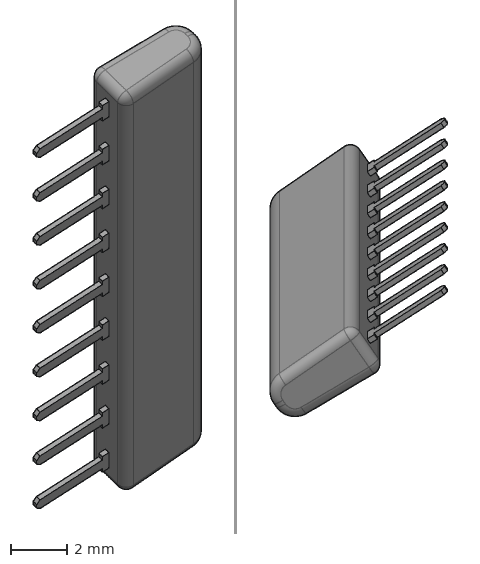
import cadquery as cq
import math

body_height = 22.85
pin_count = 9
pin_pitch = body_height / pin_count

body_depth = 4.0
front_width = 2.0
side_draft = math.radians(2.0)
back_width = front_width - 2 * body_depth * math.tan(side_draft)
edge_radius = 0.4
back_radius = 0.8

pin_thickness = 0.2
pin_width = 0.5
pin_length = 3.3
collar_width = 0.9
collar_length = 0.3
tip_chamfer = 0.15
tip_width = pin_width - 2 * tip_chamfer


def make_body():
    """Drafted block with its front face on Y = 0, widest at the front."""
    profile = [
        (-front_width / 2, 0),
        (front_width / 2, 0),
        (back_width / 2, body_depth),
        (-back_width / 2, body_depth),
    ]
    block = (
        cq.Workplane("XY")
        .workplane(offset=-body_height / 2)
        .polyline(profile)
        .close()
        .extrude(body_height)
    )
    rounded_back = block.edges("|Z and >Y").fillet(back_radius)
    rounded_front = rounded_back.edges("|Z and <Y").fillet(edge_radius)
    return rounded_front.faces("|Z").edges().fillet(edge_radius)


def make_pin(height):
    """One pin butted against the front face, centred at the given Z height."""
    upper_half = [
        (0, collar_width / 2),
        (-collar_length, collar_width / 2),
        (-collar_length, pin_width / 2),
        (tip_chamfer - pin_length, pin_width / 2),
        (-pin_length, tip_width / 2),
    ]
    lower_half = [(y, -z) for y, z in reversed(upper_half)]
    return (
        cq.Workplane("YZ")
        .polyline(upper_half + lower_half)
        .close()
        .extrude(pin_thickness / 2, both=True)
        .translate((0, 0, height))
    )


body = make_body()

pins = []
for index in range(pin_count):
    pin_height = (index - (pin_count - 1) / 2) * pin_pitch
    pins.append(make_pin(pin_height).val())

result = cq.Compound.makeCompound([body.val(), *pins])